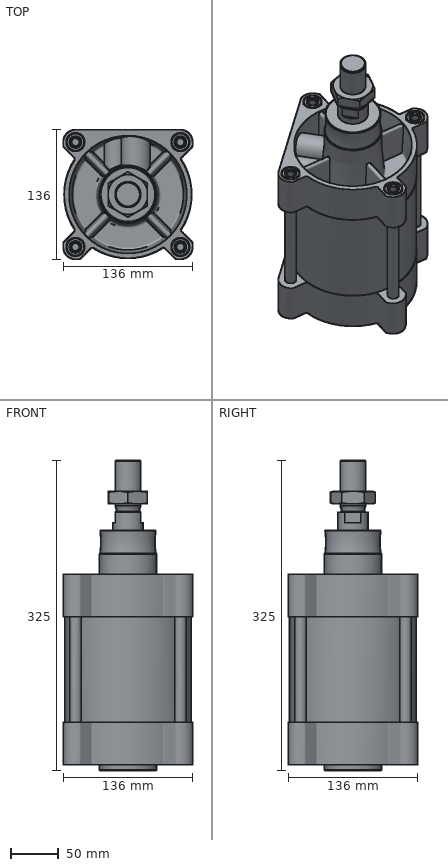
import cadquery as cq
import math

TOTAL_HEIGHT = 325.0
LOWER_BOSS_HEIGHT = 6.2
CAP_HEIGHT = 44.5
TUBE_LENGTH = 110.5
LOWER_CAP_BASE = LOWER_BOSS_HEIGHT
TUBE_BASE = LOWER_CAP_BASE + CAP_HEIGHT
UPPER_CAP_BASE = TUBE_BASE + TUBE_LENGTH
UPPER_CAP_TOP = UPPER_CAP_BASE + CAP_HEIGHT
COLLAR_STEP = 227.8
COLLAR_TOP = 252.0

CAP_WIDTH = 136.0
CAP_DIAMETER = 134.0
TUBE_DIAMETER = 133.0
LOBE_RADIUS = 13.0
LOBE_WIDTH = 25.0
LOBE_CORNER_FILLET = 3.0
LOBE_ROOT_FILLET = 1.3
TIE_ROD_OFFSET = CAP_WIDTH / 2 - LOBE_RADIUS
TIE_ROD_DIAMETER = 12.0
EDGE_TOLERANCE = 0.03

POCKET_DEPTH = 37.5
POCKET_FLOOR = UPPER_CAP_TOP - POCKET_DEPTH
POCKET_TOP_DIAMETER = 123.5
POCKET_FLOOR_DIAMETER = 115.7
POCKET_FILLET = 2.3
RIB_TOP_WIDTH = 5.0
RIB_BASE_WIDTH = 11.0
RIB_FILLET = 2.3
RIB_DROP = 1.5
PORT_BOSS_RADIUS = 15.3
PORT_BOSS_X = 8.0
PORT_BOSS_Z = UPPER_CAP_BASE + CAP_HEIGHT / 2
CUSHION_BOSS_RADIUS = 12.0
CUSHION_BOSS_X = -13.0
CUSHION_BOSS_Z = 174.5

HEAD_GAP_DIAMETER = 19.5
HEAD_DIAMETER = 18.5
HEAD_CHAMFER = 0.3
HEAD_GAP_DEPTH = 2.0
SOCKET_MOUTH_DIAMETER = 12.7
SOCKET_SEAT_DIAMETER = 10.0
SOCKET_DIAMETER = 8.0
SOCKET_DEPTH = 9.8

COLLAR_DIAMETER = 60.0
COLLAR_FOOT_DIAMETER = 66.0
COLLAR_CHAMFER = 1.0
SLEEVE_DIAMETER = 58.5
SLEEVE_WAIST_DIAMETER = 57.0
SLEEVE_TOP_DIAMETER = 56.5
SLEEVE_TOP_DROP = 0.5

ROD_DIAMETER = 32.0
ROD_SHOULDER = 270.7
ROD_FLAT_WIDTH = 27.0
ROD_FLAT_BASE = 259.7
NECK_DIAMETER = 24.5
NECK_TOP = 273.5
NECK_CHAMFER = 1.0
THREAD_DIAMETER = 27.0
THREAD_BASE = 277.5
THREAD_TIP_DIAMETER = 24.7

NUT_BASE = 279.5
NUT_HEIGHT = 13.0
NUT_WIDTH = 41.0
NUT_FACE_DIAMETER = 41.5
NUT_CHAMFER_SLOPE = 20


def cylinder(diameter, base, height):
    """A cylinder on the Z axis."""
    return cq.Workplane("XY").workplane(offset=base).circle(diameter / 2).extrude(height)


def turned(points):
    """A body of revolution about Z from (radius, z) points that start and end on the axis."""
    return cq.Workplane("XZ").polyline(points).close().revolve(360, (0, 0), (0, 1))


def tie_rod_positions():
    return [(sx * TIE_ROD_OFFSET, sy * TIE_ROD_OFFSET) for sx in (-1, 1) for sy in (-1, 1)]


def end_cap(base):
    """A round cap with four diagonal lobes, filled out straight across on the +Y side."""
    level = cq.Workplane("XY").workplane(offset=base)
    half = CAP_WIDTH / 2
    square = level.rect(CAP_WIDTH, CAP_WIDTH).extrude(CAP_HEIGHT).edges("|Z").fillet(LOBE_RADIUS)
    diagonal = level.rect(2 * CAP_WIDTH, LOBE_WIDTH).extrude(CAP_HEIGHT)
    lobes = diagonal.rotate((0, 0, 0), (0, 0, 1), 45).union(diagonal.rotate((0, 0, 0), (0, 0, 1), 135))
    web = level.polyline([(0, 0), (half, half), (-half, half)]).close().extrude(CAP_HEIGHT)
    cap = square.intersect(lobes.union(web)).union(cylinder(CAP_DIAMETER, base, CAP_HEIGHT))

    def on_lobe_side(edge):
        middle = edge.Center()
        offset = abs(abs(middle.x) - abs(middle.y))
        return abs(offset - LOBE_WIDTH / math.sqrt(2)) < EDGE_TOLERANCE

    def is_outer_corner(edge):
        middle = edge.Center()
        return math.hypot(middle.x, middle.y) > CAP_DIAMETER / 2 + EDGE_TOLERANCE

    sides = [edge for edge in cap.edges("|Z").vals() if on_lobe_side(edge)]
    corners = [edge for edge in sides if is_outer_corner(edge)]
    roots = [edge for edge in sides if not is_outer_corner(edge)]
    cap = cap.newObject(corners).fillet(LOBE_CORNER_FILLET)
    return cap.newObject(roots).fillet(LOBE_ROOT_FILLET)


def rib(angle):
    """A drafted rib with rounded top edges, running across the pocket at an angle to X."""
    crest = RIB_TOP_WIDTH / 2
    foot = RIB_BASE_WIDTH / 2
    crest_z = UPPER_CAP_TOP - RIB_DROP
    profile = cq.Workplane("YZ").polyline([
        (-foot, POCKET_FLOOR),
        (-crest, crest_z),
        (crest, crest_z),
        (foot, POCKET_FLOOR),
    ]).close()
    bar = profile.extrude(CAP_WIDTH / 2, both=True).faces(">Z").edges("|X").fillet(RIB_FILLET)
    return bar.rotate((0, 0, 0), (0, 0, 1), angle)


def side_boss(x, z, radius):
    """A round boss lying along Y, from the axis out to the +Y side."""
    return cq.Workplane("XZ").center(x, z).circle(radius).extrude(-CAP_WIDTH / 2)


def pocket():
    """The ring-shaped pocket round the collar, less the ribs and port bosses left standing in it."""
    space = turned([
        (0, POCKET_FLOOR),
        (POCKET_FLOOR_DIAMETER / 2, POCKET_FLOOR),
        (POCKET_TOP_DIAMETER / 2, UPPER_CAP_TOP),
        (0, UPPER_CAP_TOP),
    ])
    collar_foot = turned([
        (0, POCKET_FLOOR),
        (COLLAR_FOOT_DIAMETER / 2, POCKET_FLOOR),
        (COLLAR_DIAMETER / 2, UPPER_CAP_TOP),
        (0, UPPER_CAP_TOP),
    ])
    space = space.cut(collar_foot).faces("<Z").edges().fillet(POCKET_FILLET)
    for angle in (45, 135):
        space = space.cut(rib(angle))
    space = space.cut(side_boss(PORT_BOSS_X, PORT_BOSS_Z, PORT_BOSS_RADIUS))
    return space.cut(side_boss(CUSHION_BOSS_X, CUSHION_BOSS_Z, CUSHION_BOSS_RADIUS))


def collar():
    """The collar above the upper cap, with a slightly waisted sleeve on top."""
    sleeve_rim = COLLAR_TOP - SLEEVE_TOP_DROP
    waist_z = (COLLAR_STEP + sleeve_rim) / 2
    return (
        cq.Workplane("XZ")
        .moveTo(0, UPPER_CAP_TOP)
        .lineTo(COLLAR_DIAMETER / 2, UPPER_CAP_TOP)
        .lineTo(COLLAR_DIAMETER / 2, COLLAR_STEP - COLLAR_CHAMFER)
        .lineTo(SLEEVE_DIAMETER / 2, COLLAR_STEP)
        .threePointArc((SLEEVE_WAIST_DIAMETER / 2, waist_z), (SLEEVE_DIAMETER / 2, sleeve_rim))
        .lineTo(SLEEVE_TOP_DIAMETER / 2, COLLAR_TOP)
        .lineTo(0, COLLAR_TOP)
        .close()
        .revolve(360, (0, 0), (0, 1))
    )


def screw_head_cut():
    """The gap round one screw head, the chamfer of the head and its socket."""
    gap_floor = UPPER_CAP_TOP - HEAD_GAP_DEPTH
    gap = cylinder(HEAD_GAP_DIAMETER, gap_floor, HEAD_GAP_DEPTH)
    head = cylinder(HEAD_DIAMETER, gap_floor, HEAD_GAP_DEPTH).faces(">Z").chamfer(HEAD_CHAMFER)
    seat_z = UPPER_CAP_TOP - (SOCKET_MOUTH_DIAMETER - SOCKET_SEAT_DIAMETER) / 2
    socket = turned([
        (0, UPPER_CAP_TOP - SOCKET_DEPTH),
        (SOCKET_DIAMETER / 2, UPPER_CAP_TOP - SOCKET_DEPTH),
        (SOCKET_DIAMETER / 2, seat_z),
        (SOCKET_SEAT_DIAMETER / 2, seat_z),
        (SOCKET_MOUTH_DIAMETER / 2, UPPER_CAP_TOP),
        (0, UPPER_CAP_TOP),
    ])
    return gap.cut(head).union(socket)


def make_housing():
    """Caps, tube, tie rods and collar as one solid."""
    lower_boss = cylinder(COLLAR_DIAMETER, 0, LOWER_BOSS_HEIGHT).faces("<Z").chamfer(COLLAR_CHAMFER)
    tube = cylinder(TUBE_DIAMETER, TUBE_BASE, TUBE_LENGTH)
    upper_cap = end_cap(UPPER_CAP_BASE).cut(pocket())
    housing = end_cap(LOWER_CAP_BASE).union(lower_boss).union(tube).union(upper_cap).union(collar())
    tie_rod = cylinder(TIE_ROD_DIAMETER, TUBE_BASE, TUBE_LENGTH)
    for x, y in tie_rod_positions():
        housing = housing.union(tie_rod.translate((x, y, 0)))
        housing = housing.cut(screw_head_cut().translate((x, y, 0)))
    return housing


def make_piston_rod():
    """The rod standing on the collar, with wrench flats, an undercut neck and a threaded end."""
    tip_chamfer = (THREAD_DIAMETER - THREAD_TIP_DIAMETER) / 2
    rod = turned([
        (0, COLLAR_TOP),
        (ROD_DIAMETER / 2, COLLAR_TOP),
        (ROD_DIAMETER / 2, ROD_SHOULDER),
        (NECK_DIAMETER / 2 + NECK_CHAMFER, ROD_SHOULDER),
        (NECK_DIAMETER / 2, ROD_SHOULDER + NECK_CHAMFER),
        (NECK_DIAMETER / 2, NECK_TOP),
        (THREAD_DIAMETER / 2, THREAD_BASE),
        (THREAD_DIAMETER / 2, TOTAL_HEIGHT - tip_chamfer),
        (THREAD_TIP_DIAMETER / 2, TOTAL_HEIGHT),
        (0, TOTAL_HEIGHT),
    ])
    flat_height = ROD_SHOULDER - ROD_FLAT_BASE
    flat_level = cq.Workplane("XY").workplane(offset=ROD_FLAT_BASE)
    between_flats = flat_level.rect(ROD_FLAT_WIDTH, ROD_DIAMETER).extrude(flat_height)
    return rod.cut(cylinder(ROD_DIAMETER, ROD_FLAT_BASE, flat_height).cut(between_flats))


def make_nut():
    """A hexagon nut with two corners on Y, its corners chamfered at both ends."""
    corner_radius = NUT_WIDTH / math.sqrt(3)
    chamfer_radius = NUT_FACE_DIAMETER / 2
    chamfer_drop = (corner_radius - chamfer_radius) * math.tan(math.radians(NUT_CHAMFER_SLOPE))
    nut_top = NUT_BASE + NUT_HEIGHT
    envelope = turned([
        (0, NUT_BASE),
        (chamfer_radius, NUT_BASE),
        (corner_radius, NUT_BASE + chamfer_drop),
        (corner_radius, nut_top - chamfer_drop),
        (chamfer_radius, nut_top),
        (0, nut_top),
    ])
    level = cq.Workplane("XY").workplane(offset=NUT_BASE)
    hexagon = level.polygon(6, 2 * corner_radius).extrude(NUT_HEIGHT)
    blank = hexagon.rotate((0, 0, 0), (0, 0, 1), 90).intersect(envelope)
    return blank.cut(cylinder(THREAD_DIAMETER, NUT_BASE, NUT_HEIGHT))


housing = make_housing()
piston_rod = make_piston_rod()
nut = make_nut()

result = cq.Compound.makeCompound([housing.val(), piston_rod.val(), nut.val()])